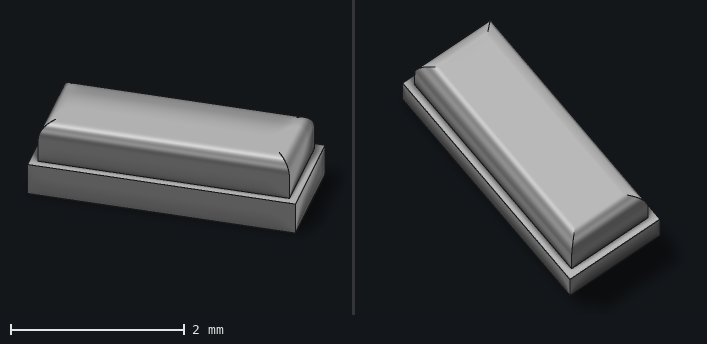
import cadquery as cq

base_length = 3.2
base_width = 1.3
base_height = 0.4

ledge = 0.1
lid_height = 0.5
lid_edge_radius = 0.2

lid_length = base_length - 2 * ledge
lid_width = base_width - 2 * ledge


def make_base():
    """Rectangular slab resting on the XY plane."""
    return cq.Workplane("XY").box(base_length, base_width, base_height, centered=(True, True, False))


def make_lid():
    """Block on top of the base, with its upper edges rounded."""
    lid = (
        cq.Workplane("XY")
        .workplane(offset=base_height)
        .box(lid_length, lid_width, lid_height, centered=(True, True, False))
    )
    return lid.faces(">Z").edges().fillet(lid_edge_radius)


result = make_base().union(make_lid())